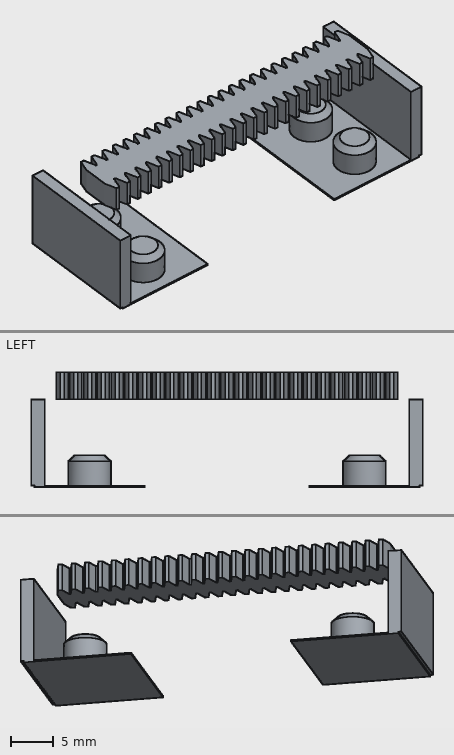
import cadquery as cq

OVERALL_LENGTH = 45.6
BRACKET_WIDTH = 16.0
FLOOR_DEPTH = 13.22
FLOOR_THICKNESS = 0.2
WALL_THICKNESS = 1.6
WALL_HEIGHT = 10.2
FLOOR_INSET = 0.35

PEG_DIAMETER = 5.0
PEG_TOP_HEIGHT = 3.75
PEG_SPACING = 8.0
PEG_SETBACK = 6.8
PEG_CHAMFER_WIDTH = 0.78
PEG_CHAMFER_HEIGHT = 0.75

RACK_HEIGHT = 3.2
RACK_LENGTH = 39.8
RACK_WIDTH = 6.48
RACK_CORE_WIDTH = 3.35
TOOTH_COUNT = 25
TOOTH_BASE = 1.4
TOOTH_TIP = 0.45
TOOTH_PITCH = (RACK_LENGTH - TOOTH_BASE) / (TOOTH_COUNT - 1)

HALF_LENGTH = OVERALL_LENGTH / 2


def make_peg(x, y):
    """Round peg standing on the floor plate, with a sloped rim."""
    height = PEG_TOP_HEIGHT - FLOOR_THICKNESS
    return (
        cq.Workplane("XY", origin=(x, y, FLOOR_THICKNESS))
        .circle(PEG_DIAMETER / 2)
        .extrude(height)
        .faces(">Z")
        .chamfer(PEG_CHAMFER_HEIGHT, PEG_CHAMFER_WIDTH)
    )


def make_bracket():
    """Bracket at the -Y end; the wall overhangs the floor plate slightly on the outside."""
    bracket = (
        cq.Workplane("YZ", origin=(-BRACKET_WIDTH / 2, 0, 0))
        .moveTo(-HALF_LENGTH + FLOOR_INSET, 0)
        .lineTo(-HALF_LENGTH + FLOOR_DEPTH, 0)
        .lineTo(-HALF_LENGTH + FLOOR_DEPTH, FLOOR_THICKNESS)
        .lineTo(-HALF_LENGTH + WALL_THICKNESS, FLOOR_THICKNESS)
        .lineTo(-HALF_LENGTH + WALL_THICKNESS, WALL_HEIGHT)
        .lineTo(-HALF_LENGTH, WALL_HEIGHT)
        .lineTo(-HALF_LENGTH, FLOOR_THICKNESS)
        .lineTo(-HALF_LENGTH + FLOOR_INSET, FLOOR_THICKNESS)
        .close()
        .extrude(BRACKET_WIDTH)
    )
    for side in (-1, 1):
        bracket = bracket.union(make_peg(side * PEG_SPACING / 2, -HALF_LENGTH + PEG_SETBACK))
    return bracket


def make_rack():
    """Straight core with a row of matching tapered teeth along each long side."""
    core_edge = RACK_CORE_WIDTH / 2
    tip_edge = RACK_WIDTH / 2
    first_tooth_y = -(TOOTH_COUNT - 1) * TOOTH_PITCH / 2

    right_side = []
    for index in range(TOOTH_COUNT):
        y = first_tooth_y + index * TOOTH_PITCH
        right_side += [
            (core_edge, y - TOOTH_BASE / 2),
            (tip_edge, y - TOOTH_TIP / 2),
            (tip_edge, y + TOOTH_TIP / 2),
            (core_edge, y + TOOTH_BASE / 2),
        ]
    left_side = [(-x, -y) for x, y in right_side]
    return (
        cq.Workplane("XY", origin=(0, 0, WALL_HEIGHT))
        .polyline(right_side + left_side)
        .close()
        .extrude(RACK_HEIGHT)
    )


front_bracket = make_bracket()
brackets = [front_bracket, front_bracket.mirror("XZ")]
rack = make_rack()

result = cq.Compound.makeCompound([*[bracket.val() for bracket in brackets], rack.val()])